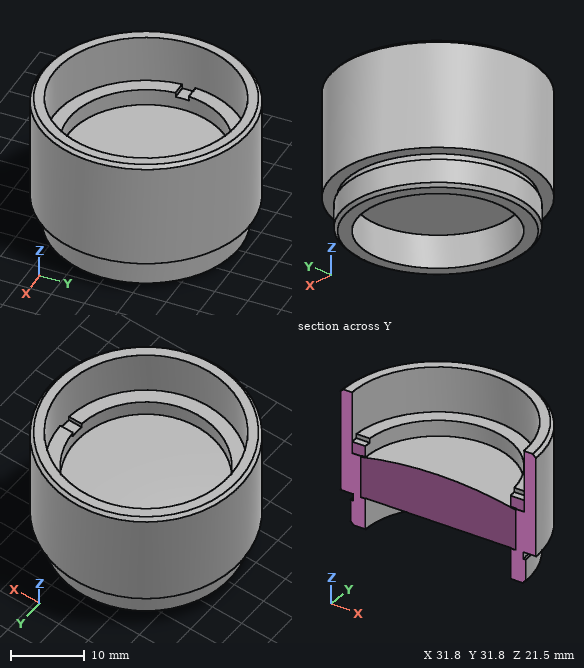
import cadquery as cq
import math

body_radius = 15.88
total_height = 21.5
rim_chamfer = 0.5
shoulder_height = 5.02
groove_radius = 13.85
groove_height = 1.02
spigot_radius = 14.23
spigot_chamfer = 0.5

ring_outer_radius = 13.9
ring_inner_radius = 11.75
ring_depth = 7.27
ring_thickness = 2.55
slot_width = 2.0
slot_depth = 0.7

lens_radius = 12.55
dome_radius = 58.12

ring_top = total_height - ring_depth
ring_bottom = ring_top - ring_thickness
lens_seat = shoulder_height
aperture_radius = ring_inner_radius


def disc(radius, bottom, top):
    """Cylinder about the Z axis between two heights."""
    return cq.Workplane("XY").workplane(offset=bottom).circle(radius).extrude(top - bottom)


def dome_height(radius):
    """Height of the domed lens face, which meets the ring's lower inner edge."""
    sphere_center = ring_bottom - math.sqrt(dome_radius**2 - ring_inner_radius**2)
    return sphere_center + math.sqrt(dome_radius**2 - radius**2)


def make_housing():
    """Stepped tube with a grooved spigot, a ring bore, a lens pocket and an aperture."""
    groove_bottom = shoulder_height - groove_height
    spigot = disc(spigot_radius, 0, groove_bottom).faces("<Z").chamfer(spigot_chamfer)
    neck = disc(groove_radius, groove_bottom, shoulder_height)
    barrel = disc(body_radius, shoulder_height, total_height).faces(">Z").chamfer(rim_chamfer)
    outside = spigot.union(neck).union(barrel)

    ring_bore = disc(ring_outer_radius, ring_bottom, total_height)
    lens_pocket = disc(lens_radius, lens_seat, ring_bottom)
    aperture = disc(aperture_radius, 0, lens_seat)
    return outside.cut(ring_bore).cut(lens_pocket).cut(aperture)


def make_retaining_ring():
    """Flat ring with a spanner slot across its upper face."""
    ring = disc(ring_outer_radius, ring_bottom, ring_top)
    ring = ring.cut(disc(ring_inner_radius, ring_bottom, ring_top))
    slot = (
        cq.Workplane("XY")
        .workplane(offset=ring_top - slot_depth)
        .rect(2 * ring_outer_radius, slot_width)
        .extrude(slot_depth)
    )
    return ring.cut(slot)


def make_lens():
    """Lens with a flat lower face and a convex upper face, revolved about Z."""
    middle_radius = lens_radius / 2
    return (
        cq.Workplane("XZ")
        .moveTo(0, lens_seat)
        .lineTo(lens_radius, lens_seat)
        .lineTo(lens_radius, dome_height(lens_radius))
        .threePointArc((middle_radius, dome_height(middle_radius)), (0, dome_height(0)))
        .close()
        .revolve(360, (0, 0, 0), (0, 1, 0))
    )


housing = make_housing()
retaining_ring = make_retaining_ring()
lens = make_lens()

result = cq.Compound.makeCompound([housing.val(), retaining_ring.val(), lens.val()])